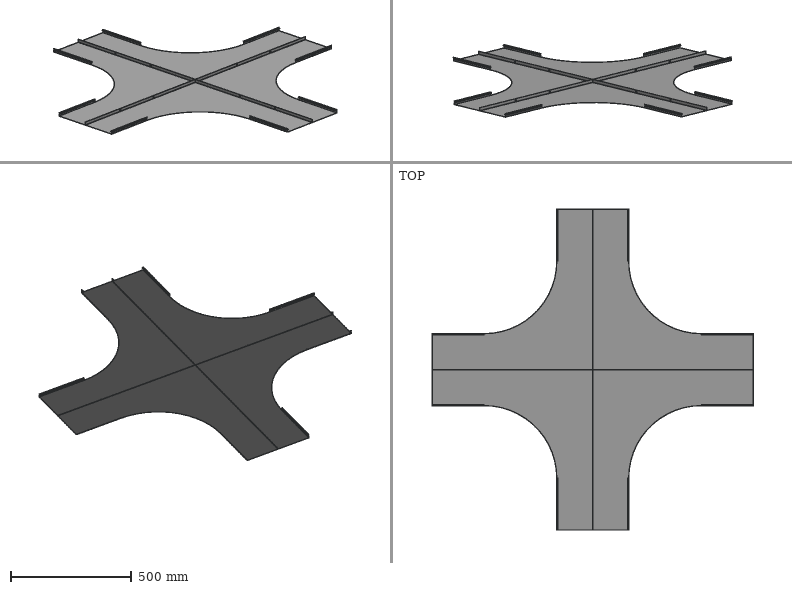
import cadquery as cq
import math

overall_span = 1334.0
panel_height = 15.97
sheet_thickness = 1.3

arm_end = overall_span / 2
arm_half_width = 150.0
corner_radius = 300.0
arc_start = arm_half_width + corner_radius

middle_flange_height = 14.0
hole_diameter = 5.0
hole_distances = (254.0, 455.0)
hole_height = middle_flange_height / 2

flange_end_gap = 1.0
stem_height = 8.0
snap_depth = 3.4


def quarter_floor():
    """Flat floor of one quarter, with the concave corner between two arms."""
    return (
        cq.Workplane("XY")
        .lineTo(arm_end, 0)
        .lineTo(arm_end, arm_half_width)
        .lineTo(arc_start, arm_half_width)
        .radiusArc((arm_half_width, arc_start), corner_radius)
        .lineTo(arm_half_width, arm_end)
        .lineTo(0, arm_end)
        .close()
        .extrude(sheet_thickness)
    )


def middle_flange():
    """Upright flange along the X axis, with its row of fastener holes."""
    flange = cq.Workplane("XY").box(arm_end, sheet_thickness, middle_flange_height, centered=False)
    holes = (
        cq.Workplane("XZ")
        .pushPoints([(distance, hole_height) for distance in hole_distances])
        .circle(hole_diameter / 2)
        .extrude(-sheet_thickness)
    )
    return flange.cut(holes)


def edge_flange():
    """Flange along the straight outer edge of the X arm, with an inward snap ridge."""
    slope_width = sheet_thickness * math.sqrt(2)
    lip_offset = sheet_thickness / math.sqrt(2)
    ridge_y = arm_half_width - snap_depth
    ridge_z = stem_height + snap_depth
    lip_z = panel_height - lip_offset
    lip_y = ridge_y + lip_z - ridge_z
    stem_inner_y = arm_half_width - sheet_thickness
    stem_inner_z = stem_height + sheet_thickness - slope_width
    start_x = arc_start + flange_end_gap
    return (
        cq.Workplane("YZ", origin=(start_x, 0, 0))
        .moveTo(arm_half_width, 0)
        .lineTo(arm_half_width, stem_height)
        .lineTo(ridge_y, ridge_z)
        .lineTo(lip_y, lip_z)
        .lineTo(lip_y - lip_offset, panel_height)
        .lineTo(ridge_y - slope_width, ridge_z)
        .lineTo(stem_inner_y, stem_inner_z)
        .lineTo(stem_inner_y, 0)
        .close()
        .extrude(arm_end - start_x)
    )


def across_diagonal(body):
    """Mirror a body across the plane x = y, from the X arm to the Y arm."""
    return body.rotate((0, 0, 0), (0, 0, 1), 90).mirror("YZ")


def quarter_panel():
    """One folded panel: its floor and the flanges along both of its arms."""
    panel = quarter_floor()
    for flange in (middle_flange(), edge_flange()):
        panel = panel.union(flange).union(across_diagonal(flange))
    return panel


panels = [quarter_panel().rotate((0, 0, 0), (0, 0, 1), angle) for angle in (0, 90, 180, 270)]

result = cq.Compound.makeCompound([panel.val() for panel in panels])